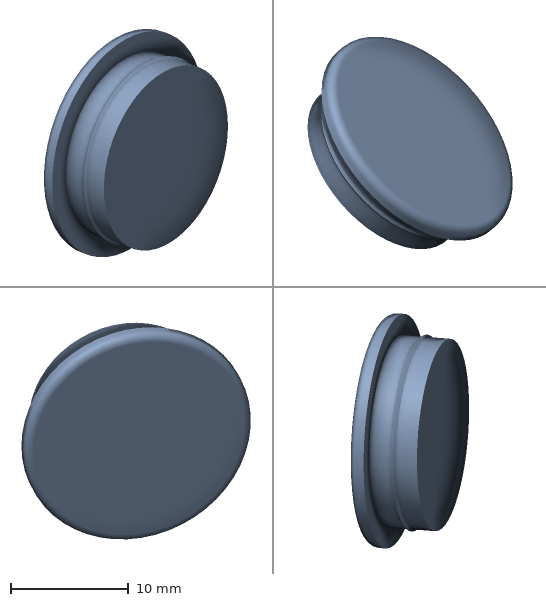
import cadquery as cq

total_length = 5.5
cap_diameter = 20.0
cap_thickness = 1.3
cap_edge_radius = 0.7
body_diameter = 16.4
ridge_width = 0.5
ridge_height = 0.2

body_length = total_length - cap_thickness
body_radius = body_diameter / 2
ridge_center = cap_thickness + body_length / 2


def make_cap():
    """Disc with a rounded rim on its outer (-X) face."""
    disc = cq.Workplane("YZ").circle(cap_diameter / 2).extrude(cap_thickness)
    return disc.faces("<X").edges().fillet(cap_edge_radius)


def make_body():
    """Plain cylinder behind the cap."""
    return cq.Workplane("YZ", origin=(cap_thickness, 0, 0)).circle(body_radius).extrude(body_length)


def make_ridge():
    """V-shaped snap ridge around the middle of the body, on a disc that reaches the axis."""
    ridge_start = ridge_center - ridge_width / 2
    ridge_end = ridge_center + ridge_width / 2
    profile = (
        cq.Workplane("XY")
        .moveTo(ridge_start, 0)
        .lineTo(ridge_start, body_radius)
        .lineTo(ridge_center, body_radius + ridge_height)
        .lineTo(ridge_end, body_radius)
        .lineTo(ridge_end, 0)
        .close()
    )
    return profile.revolve(360, (0, 0, 0), (1, 0, 0))


result = make_cap().union(make_body()).union(make_ridge())